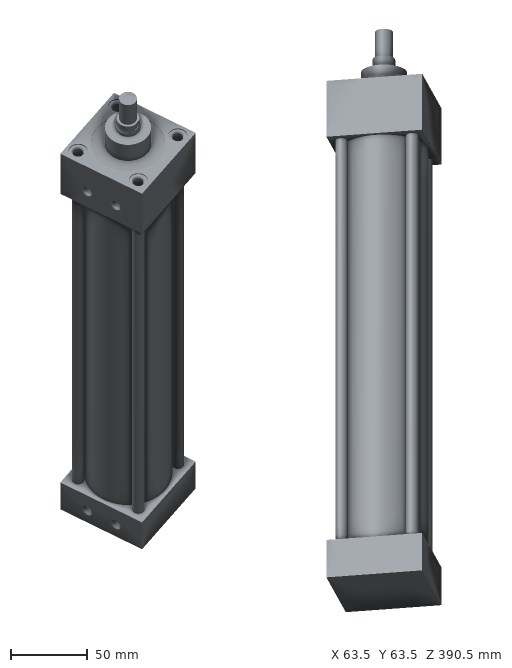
import cadquery as cq
import math

total_height = 390.5
block_side = 63.5

cap_height = 26.0
head_bottom = 307.7
head_top = 346.8

tube_diameter = 57.8
tie_rod_diameter = 8.2
tie_rod_offset = 23.5

drill_tip_angle = 118.0
mouth_taper = 0.8

seat_diameter = 12.5
seat_depth = 0.8
tie_hole_diameter = 7.0
tie_hole_depth = 9.8

port_diameter = 6.2
port_depth = 9.8
port_spacing = 22.3
cap_port_height = 11.5
head_port_height = 322.5

boss_diameter = 30.0
boss_top = 362.0
recess_diameter = 48.5
recess_depth = 0.5

rod_diameter = 16.0
shoulder_bottom = 364.5
wrench_diameter = 15.0
wrench_bottom = 366.5
wrench_top = 371.5
flat_width = 14.0
stud_diameter = 11.7

rod_bottom = head_bottom


def cylinder(diameter, bottom, top):
    return cq.Workplane("XY").workplane(offset=bottom).circle(diameter / 2).extrude(top - bottom)


def block(bottom, top):
    return cq.Workplane("XY").workplane(offset=bottom).rect(block_side, block_side).extrude(top - bottom)


def drilled_hole(diameter, depth):
    """Drill shape entering downward from the origin, with a countersunk mouth and a conical tip."""
    radius = diameter / 2
    tip_length = radius / math.tan(math.radians(drill_tip_angle / 2))
    profile = [
        (0, 0),
        (radius + mouth_taper, 0),
        (radius, -mouth_taper),
        (radius, -depth),
        (0, -depth - tip_length),
    ]
    return cq.Workplane("XZ").polyline(profile).close().revolve(360, (0, 0), (0, 1))


def tie_rod_places():
    offsets = (-tie_rod_offset, tie_rod_offset)
    return [(x, y) for x in offsets for y in offsets]


def add_tie_rods(housing):
    tie_rod = cylinder(tie_rod_diameter, cap_height, head_bottom)
    for x, y in tie_rod_places():
        housing = housing.union(tie_rod.translate((x, y, 0)))
    return housing


def cut_tie_rod_seats(housing):
    seat_floor = head_top - seat_depth
    seat = cylinder(seat_diameter, seat_floor, head_top)
    hole = drilled_hole(tie_hole_diameter, tie_hole_depth).translate((0, 0, seat_floor))
    for x, y in tie_rod_places():
        housing = housing.cut(seat.translate((x, y, 0)))
        housing = housing.cut(hole.translate((x, y, 0)))
    return housing


def cut_ports(housing):
    port = drilled_hole(port_diameter, port_depth).rotate((0, 0, 0), (1, 0, 0), 90)
    for z in (cap_port_height, head_port_height):
        for x in (-port_spacing / 2, port_spacing / 2):
            housing = housing.cut(port.translate((x, -block_side / 2, z)))
    return housing


def make_housing():
    housing = block(0, cap_height)
    housing = housing.union(cylinder(tube_diameter, cap_height, head_bottom))
    housing = add_tie_rods(housing)
    housing = housing.union(block(head_bottom, head_top))

    recess_floor = head_top - recess_depth
    housing = housing.cut(cylinder(recess_diameter, recess_floor, head_top))
    housing = housing.union(cylinder(boss_diameter, recess_floor, boss_top))

    housing = cut_tie_rod_seats(housing)
    housing = cut_ports(housing)
    return housing.cut(cylinder(rod_diameter, rod_bottom, boss_top))


def make_piston_rod():
    profile = [
        (0, rod_bottom),
        (rod_diameter / 2, rod_bottom),
        (rod_diameter / 2, shoulder_bottom),
        (wrench_diameter / 2, wrench_bottom),
        (wrench_diameter / 2, wrench_top),
        (stud_diameter / 2, wrench_top),
        (stud_diameter / 2, total_height),
        (0, total_height),
    ]
    rod = cq.Workplane("XZ").polyline(profile).close().revolve(360, (0, 0), (0, 1))

    flat_cutter = cq.Workplane("XY").box(
        rod_diameter, rod_diameter, wrench_top - wrench_bottom, centered=(False, True, False)
    )
    flat_cutter = flat_cutter.translate((flat_width / 2, 0, wrench_bottom))
    rod = rod.cut(flat_cutter)
    return rod.cut(flat_cutter.mirror("YZ"))


housing = make_housing()
piston_rod = make_piston_rod()

result = cq.Compound.makeCompound([housing.val(), piston_rod.val()])